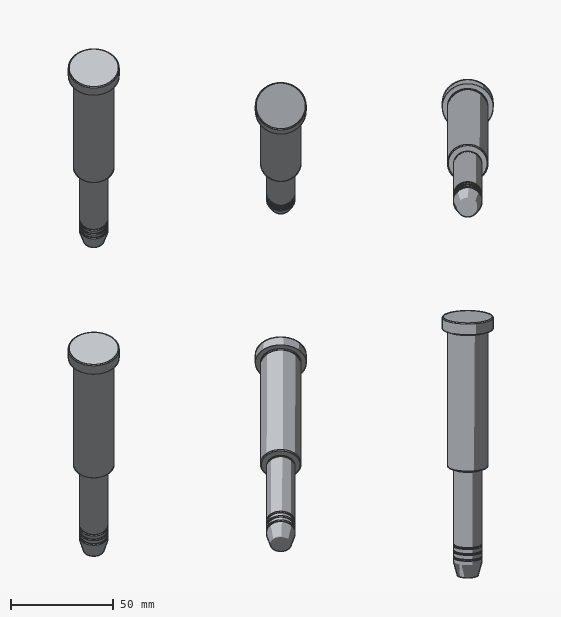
import cadquery as cq
import math

total_length = 131.0
head_diameter = 25.0
head_height = 6.0
body_diameter = 20.0
body_length = 70.0
pin_diameter = 14.0

head_chamfer = 0.5
body_chamfer = 0.5
tip_fillet = 0.5

taper_length = 7.0
taper_angle = 15.0

groove_width = 1.0
groove_depth = 0.5
groove_floor_width = 0.2

ring_groove_count = 3
ring_groove_pitch = 3.0
first_ring_groove_z = 9.0

head_bottom_z = total_length - head_height
shoulder_z = head_bottom_z - body_length


def cylinder(diameter, bottom_z, top_z):
    """Round section of the pin between two levels."""
    return cq.Workplane("XY").workplane(offset=bottom_z).circle(diameter / 2).extrude(top_z - bottom_z)


def revolve_outline(points):
    """Solid of revolution about Z from a closed (radius, z) outline."""
    return cq.Workplane("XZ").polyline(points).close().revolve(360, (0, 0, 0), (0, 1, 0))


def square_groove(diameter, bottom_z):
    """Straight-walled ring to cut from a round section of the given diameter."""
    outer_radius = diameter / 2
    floor_radius = outer_radius - groove_depth
    ring = cq.Workplane("XY").workplane(offset=bottom_z).circle(outer_radius).circle(floor_radius)
    return ring.extrude(groove_width)


def sloped_groove(diameter, bottom_z):
    """Ring with two sloping walls to cut from a round section of the given diameter."""
    outer_radius = diameter / 2
    floor_radius = outer_radius - groove_depth
    wall_height = (groove_width - groove_floor_width) / 2
    top_z = bottom_z + groove_width
    return revolve_outline(
        [
            (outer_radius, bottom_z),
            (floor_radius, bottom_z + wall_height),
            (floor_radius, top_z - wall_height),
            (outer_radius, top_z),
        ]
    )


def make_head():
    head = cylinder(head_diameter, head_bottom_z, total_length)
    return head.faces(">Z").edges().chamfer(head_chamfer)


def make_body():
    """Thick section with a chamfered lower edge and a relief groove under the head."""
    body = cylinder(body_diameter, shoulder_z, head_bottom_z)
    body = body.faces("<Z").edges().chamfer(body_chamfer)
    return body.cut(sloped_groove(body_diameter, head_bottom_z - groove_width))


def make_pin():
    """Thin section with a relief groove at the shoulder and ring grooves near the tip."""
    pin = cylinder(pin_diameter, taper_length, shoulder_z)
    pin = pin.cut(square_groove(pin_diameter, shoulder_z - groove_width))
    for index in range(ring_groove_count):
        groove_z = first_ring_groove_z + index * ring_groove_pitch
        pin = pin.cut(sloped_groove(pin_diameter, groove_z))
    return pin


def make_tip():
    """Cone narrowing downwards, with a rounded lower edge."""
    pin_radius = pin_diameter / 2
    end_radius = pin_radius - taper_length * math.tan(math.radians(taper_angle))
    tip = revolve_outline([(0, 0), (end_radius, 0), (pin_radius, taper_length), (0, taper_length)])
    return tip.faces("<Z").edges().fillet(tip_fillet)


result = make_head().union(make_body()).union(make_pin()).union(make_tip())